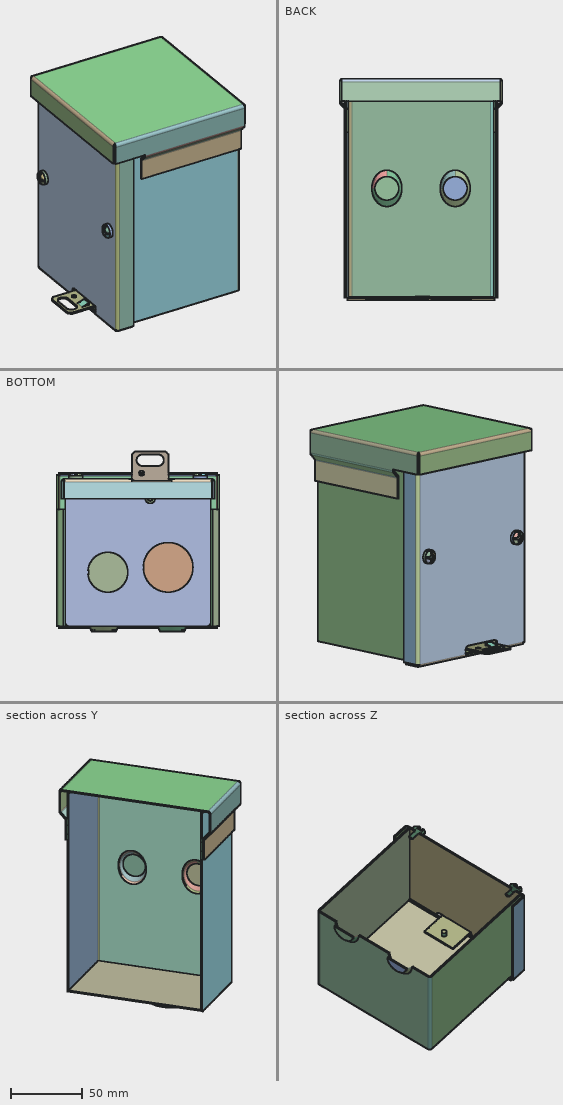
import cadquery as cq
import math


sheet = 1.4
bend_radius = 2.2
inner_bend_radius = bend_radius - sheet
corner_relief = 1.9

cap_width = 114.0
cap_depth = 108.7
cap_top = 155.5
cap_bottom = 139.6
cap_underside = cap_top - sheet

tab_bend_z = 138.0
tab_flat_top = 133.0
tab_bottom = 117.8
tab_front = -28.8

box_half_width = 50.8
box_back = cap_depth / 2 - sheet
box_bottom = 2.6
box_top = cap_underside - inner_bend_radius
floor_top = box_bottom + sheet

cover_width = 107.4
cover_front = -50.2
cover_flange_end = -36.2
cover_inside = cover_front + sheet

boss_x = 24.0
boss_z = 78.5
boss_base_half_width = 10.5
boss_base_half_height = 12.7
boss_tip_half_width = 8.4
boss_tip_half_height = 8.2
boss_tip_y = 56.9

screw_x = 43.5
screw_z = 78.5
screw_head_radius = 5.0
screw_rim_height = 2.3
screw_head_height = 4.5
screw_shoulder_radius = 3.5
screw_shoulder_height = 3.7
screw_shank_radius = 2.0
screw_shank_length = 7.8
drive_width = 1.2
drive_depth = 2.2
star_tip = 4.0
star_waist = 1.7

hasp_x = 8.5
hasp_width = 25.6
hasp_thickness = 1.2
hasp_bottom = 4.8
hasp_top = hasp_bottom + hasp_thickness
hasp_front = boss_tip_y - 126.4
hasp_back = -30.3
hasp_chamfer = 2.2
lock_slot_length = 19.0
lock_slot_width = 8.0
lock_slot_y = -63.3
hasp_hole_radius = 1.7
hasp_hole_x = 2.5
hasp_hole_y = -54.1
catch_x = 15.2
catch_width = 6.5
catch_height = 1.7
catch_back = -51.5
catch_front = -57.0

opening_x = 9.6
opening_width = 31.4
opening_top = 8.0
opening_upper_corner = 2.5
opening_lower_corner = 3.7
opening_lower_edge_angle = math.radians(65)

rivet_y = -36.4
rivet_head_radius = 3.4
rivet_head_height = 0.6
rivet_radius = 1.7
rivet_top = 9.3

knockouts = [(-21.1, 15.2, 14.0), (21.1, 11.8, 17.4)]
knockout_thickness = sheet
knockout_notch_width = 2.5
knockout_notch_depth = 0.5


def block(x0, x1, y0, y1, z0, z1):
    """Box between opposite corners."""
    return cq.Workplane("XY").box(x1 - x0, y1 - y0, z1 - z0, centered=False).translate((x0, y0, z0))


def rod(x, y, radius, z0, z1):
    """Vertical cylinder from z0 to z1."""
    return cq.Workplane("XY", origin=(x, y, z0)).circle(radius).extrude(z1 - z0)


def front_rod(x, z, radius, y0, y1):
    """Cylinder along Y from y0 to y1."""
    return cq.Workplane("XZ", origin=(x, y0, z)).circle(radius).extrude(y0 - y1)


def make_cap():
    half_w = cap_width / 2
    half_d = cap_depth / 2
    cap = block(-half_w, half_w, -half_d, half_d, cap_bottom, cap_top)
    cap = cap.faces(">Z").edges().fillet(bend_radius)
    inside_w = half_w - sheet
    inside_d = half_d - sheet
    hollow = block(-inside_w, inside_w, -inside_d, inside_d, cap_bottom - 1.5, cap_underside)
    cap = cap.cut(hollow.faces(">Z").edges().fillet(inner_bend_radius))
    for side_x in (-1, 1):
        for side_y in (-1, 1):
            relief = cq.Workplane("XY").box(2 * sheet, 2 * sheet, cap_top)
            cap = cap.cut(relief.translate((side_x * half_w, side_y * half_d, cap_top / 2)))
    for side_x in (-1, 1):
        cap = cap.union(make_side_tab(side_x))
    return cap


def make_side_tab(side):
    """Strip that runs down from a cap flange, slopes inward and lies flat on the box side."""
    outside = cap_width / 2
    flat = box_half_width + sheet
    slope_angle = math.atan2(tab_bend_z - tab_flat_top, outside - flat)
    rise = sheet * math.tan(math.pi / 4 - slope_angle / 2)
    outline = [
        (outside, cap_bottom + sheet),
        (outside, tab_bend_z),
        (flat, tab_flat_top),
        (flat, tab_bottom),
        (flat - sheet, tab_bottom),
        (flat - sheet, tab_flat_top + rise),
        (outside - sheet, tab_bend_z + rise),
        (outside - sheet, cap_bottom + sheet),
    ]
    points = [(side * x, z) for x, z in outline]
    tab = cq.Workplane("XZ", origin=(0, box_back, 0)).polyline(points).close().extrude(box_back - tab_front)
    bends = [
        (outside, tab_bend_z, bend_radius),
        (outside - sheet, tab_bend_z + rise, inner_bend_radius),
        (flat, tab_flat_top, inner_bend_radius),
        (flat - sheet, tab_flat_top + rise, bend_radius),
    ]
    for x, z, radius in bends:
        bend_edge = cq.NearestToPointSelector((side * x, (box_back + tab_front) / 2, z))
        tab = tab.edges(bend_edge).fillet(radius)
    return tab


def make_box():
    """Floor, back and sides in one piece, open at the front and top."""
    front = cover_inside
    body = block(-box_half_width, box_half_width, front, box_back, box_bottom, box_top)
    body = body.faces(">Y").edges("|Z").fillet(bend_radius)
    inside_w = box_half_width - sheet
    hollow = block(-inside_w, inside_w, front - 1.5, box_back - sheet, floor_top, box_top + 1.5)
    body = body.cut(hollow.faces(">Y").edges("|Z").fillet(inner_bend_radius))
    body = body.union(block(-inside_w, inside_w, front, front + sheet, box_bottom, hasp_bottom))
    for x in (-boss_x, boss_x):
        body = body.cut(boss(x, sheet)).union(boss(x, 0).cut(boss(x, sheet)))
    return body.cut(rod(hasp_x, rivet_y, rivet_radius, 0, rivet_top))


def boss(x, inset):
    """Tapered oval of a mounting boss on the box back, moved inward by the inset for its hollow."""
    base = box_back - inset
    height = boss_tip_y - box_back
    return (
        cq.Workplane("XZ", origin=(x, base, boss_z))
        .ellipse(boss_base_half_width, boss_base_half_height)
        .workplane(offset=-height)
        .ellipse(boss_tip_half_width, boss_tip_half_height)
        .loft()
    )


def make_cover():
    half_w = cover_width / 2
    top = box_top
    cover = block(-half_w, half_w, cover_front, cover_flange_end, 0, top)
    cover = cover.edges("(<Y and |Z) or (<Y and <Z)").fillet(bend_radius)
    inside_w = half_w - sheet
    hollow = block(-inside_w, inside_w, cover_inside, cover_flange_end + 1.5, sheet, top + 1.5)
    hollow = hollow.edges("(<Y and |Z) or (<Y and <Z)").fillet(inner_bend_radius)
    cover = cover.cut(hollow)
    for side in (-1, 1):
        relief = cq.Workplane("XY").box(2 * bend_radius, cap_depth, 2 * corner_relief)
        cover = cover.cut(relief.translate((side * half_w, 0, 0)))
    for x in (-screw_x, screw_x):
        cover = cover.cut(front_rod(x, screw_z, screw_shank_radius, cover_front - 1.5, cover_inside + 1.5))
    return cover.cut(make_hasp_opening())


def make_hasp_opening():
    """Rounded opening in the cover front whose lower edge slants through the bottom bend."""
    reach = 4 * bend_radius
    bend_y = cover_front + bend_radius
    run = reach * math.cos(opening_lower_edge_angle)
    rise = reach * math.sin(opening_lower_edge_angle)
    outline = [
        (bend_y, bend_radius),
        (bend_y - run, bend_radius - rise),
        (bend_y - run, opening_top),
        (bend_y, opening_top),
    ]
    left = opening_x - opening_width / 2
    opening = cq.Workplane("YZ", origin=(left, 0, 0)).polyline(outline).close().extrude(opening_width)
    lower_edge_z = bend_radius * (1 - math.sin(opening_lower_edge_angle))
    rounded = block(left, left + opening_width, bend_y - reach, bend_y + reach, lower_edge_z, opening_top)
    rounded = rounded.edges("|Y and >Z").fillet(opening_upper_corner)
    rounded = rounded.faces("<Z").edges("|Y").fillet(opening_lower_corner)
    return opening.intersect(rounded)


def make_screw(x):
    """Domed screw with a slot crossed by a four-pointed recess."""
    dome = [(screw_shoulder_radius, -screw_shoulder_height), (0, -screw_head_height)]
    profile = (
        cq.Workplane("XY")
        .moveTo(0, 0)
        .lineTo(screw_head_radius, 0)
        .lineTo(screw_head_radius, -screw_rim_height)
        .spline(dome, tangents=[(-1, -2), (-1, 0)], includeCurrent=True)
        .close()
    )
    head = profile.revolve(360, (0, 0), (0, 1)).translate((x, cover_front, screw_z))
    head_top = cover_front - screw_head_height
    for width, height in ((drive_width, 3 * screw_head_radius), (3 * screw_head_radius, drive_width)):
        slot = cq.Workplane("XY").box(width, 2 * drive_depth, height)
        head = head.cut(slot.translate((x, head_top, screw_z)))
    star = []
    for quarter in range(4):
        tip_angle = quarter * math.pi / 2
        waist_angle = tip_angle + math.pi / 4
        star.append((star_tip * math.cos(tip_angle), star_tip * math.sin(tip_angle)))
        star.append((star_waist * math.cos(waist_angle), star_waist * math.sin(waist_angle)))
    recess = cq.Workplane("XZ", origin=(x, head_top + drive_depth, screw_z)).polyline(star).close()
    head = head.cut(recess.extrude(drive_depth))
    return head.union(front_rod(x, screw_z, screw_shank_radius, cover_front, cover_front + screw_shank_length))


def make_hasp():
    left = hasp_x - hasp_width / 2
    right = hasp_x + hasp_width / 2
    hasp = block(left, right, hasp_front, hasp_back, hasp_bottom, hasp_top)
    hasp = hasp.faces("<Y").edges("|Z").chamfer(hasp_chamfer)
    lock_slot = (
        cq.Workplane("XY", origin=(hasp_x, lock_slot_y, hasp_bottom))
        .slot2D(lock_slot_length, lock_slot_width)
        .extrude(hasp_thickness)
    )
    hasp = hasp.cut(lock_slot)
    hasp = hasp.cut(rod(hasp_hole_x, hasp_hole_y, hasp_hole_radius, hasp_bottom, hasp_top))
    hasp = hasp.cut(rod(hasp_x, rivet_y, rivet_radius, hasp_bottom, hasp_top))
    catch = (
        cq.Workplane("YZ", origin=(catch_x - catch_width / 2, 0, 0))
        .polyline([(catch_front, hasp_top), (catch_back, hasp_top), (catch_back, hasp_top + catch_height)])
        .close()
        .extrude(catch_width)
    )
    return hasp.union(catch)


def make_rivet():
    """Rivet headed under the box floor, holding the hasp."""
    head = rod(hasp_x, rivet_y, rivet_head_radius, box_bottom - rivet_head_height, box_bottom)
    return head.union(rod(hasp_x, rivet_y, rivet_radius, box_bottom, rivet_top))


def make_knockout(x, y, radius):
    """Disc under the floor, with a small notch in its left edge."""
    disc = rod(x, y, radius, box_bottom - knockout_thickness, box_bottom)
    notch = cq.Workplane("XY").box(2 * knockout_notch_depth, knockout_notch_width, 2 * box_bottom)
    return disc.cut(notch.translate((x - radius, y, box_bottom)))


cap = make_cap()
box = make_box()
cover = make_cover()
screws = [make_screw(x) for x in (-screw_x, screw_x)]
hasp = make_hasp()
rivet = make_rivet()
knockout_discs = [make_knockout(x, y, radius) for x, y, radius in knockouts]

bodies = [cap, box, cover, hasp, rivet] + screws + knockout_discs
result = cq.Compound.makeCompound([body.val() for body in bodies])